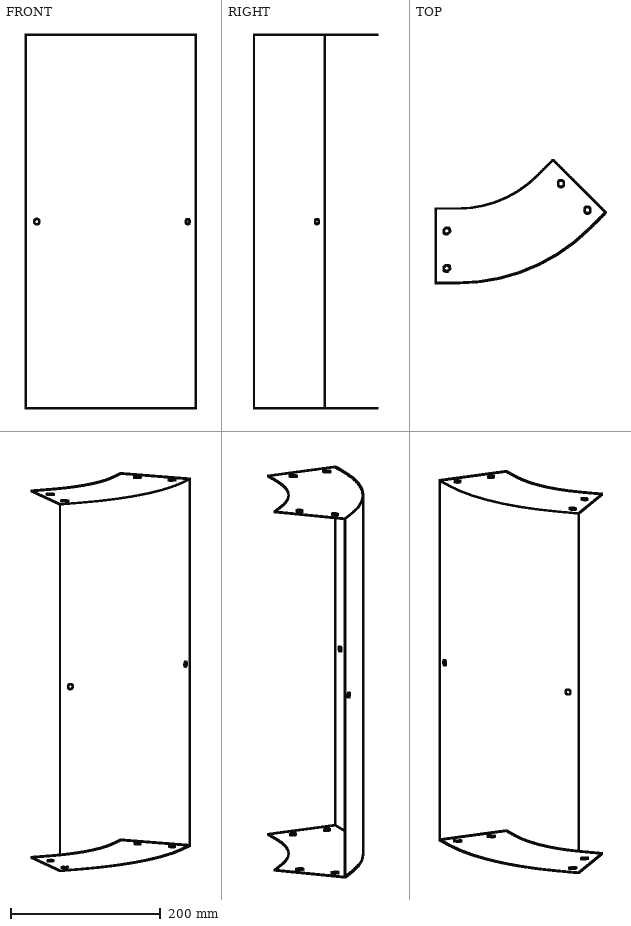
import cadquery as cq
import math

height = 500.0
sheet = 1.0
bend_angle = 45.0
outer_radius = 249.5
lead = 30.0
flange_width = 100.0

slot_width = 7.0
slot_length = 10.0
slot_angle = 45.0
hole_offset = 15.0
slot_depths = (20.0, 70.0)
wall_hole_diameter = 7.0

angle = math.radians(bend_angle)
centre_y = outer_radius


def swept_point(depth, along, sweep):
    """Point at a depth inside the wall, after a sweep and then a straight run."""
    radius = outer_radius - depth
    return (
        lead + radius * math.sin(sweep) + along * math.cos(sweep),
        centre_y - radius * math.cos(sweep) + along * math.sin(sweep),
    )


def curved_strip(depth, thickness):
    """Strip following the outside of the wall: straight, arc, straight."""
    return (
        cq.Workplane("XY")
        .moveTo(*swept_point(0, -lead, 0))
        .lineTo(*swept_point(0, 0, 0))
        .threePointArc(swept_point(0, 0, angle / 2), swept_point(0, 0, angle))
        .lineTo(*swept_point(0, lead, angle))
        .lineTo(*swept_point(depth, lead, angle))
        .lineTo(*swept_point(depth, 0, angle))
        .threePointArc(swept_point(depth, 0, angle / 2), swept_point(depth, 0, 0))
        .lineTo(*swept_point(depth, -lead, 0))
        .close()
        .extrude(thickness)
    )


def flange_slot(depth, along, sweep, tilt, base):
    """Vertical cutter for one tilted slot, through the flange at the base height."""
    return (
        cq.Workplane("XY", origin=(0, 0, base))
        .center(*swept_point(depth, along, sweep))
        .slot2D(slot_length, slot_width, tilt + math.degrees(sweep))
        .extrude(sheet)
    )


def wall_hole(along, sweep):
    """Cutter square to the wall, at mid height."""
    start = cq.Vector(*swept_point(-sheet, along, sweep), height / 2)
    inward = cq.Vector(-math.sin(sweep), math.cos(sweep), 0)
    return cq.Solid.makeCylinder(wall_hole_diameter / 2, 3 * sheet, start, inward)


top_base = height - sheet
flange = curved_strip(flange_width, sheet)
result = curved_strip(sheet, height).union(flange).union(flange.translate((0, 0, top_base)))

hole_run = lead - hole_offset
for run, sweep in ((-hole_run, 0.0), (hole_run, angle)):
    for slot_depth in slot_depths:
        result = result.cut(flange_slot(slot_depth, run, sweep, slot_angle, top_base))
        result = result.cut(flange_slot(slot_depth, run, sweep, -slot_angle, 0))
    result = result.cut(wall_hole(run, sweep))